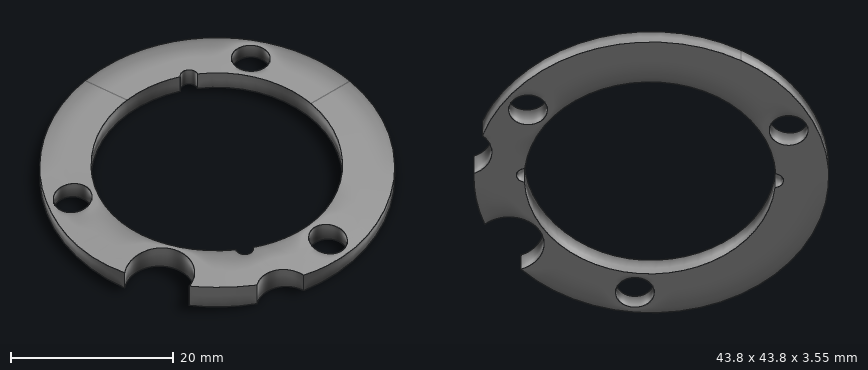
import cadquery as cq
import math

outer_radius = 21.9
inner_radius = 15.5
inner_center = (0.05, -0.18)
outer_rim_height = 2.0
inner_rim_height = 2.63
peak_height = 3.55

peak_angle = -58.4
outer_hump_half_angle = 60.0
inner_hump_half_angle = 80.0

first_edge_angle = 73.7
second_edge_inner_angle = 167.6
second_edge_outer_angle = 170.3

bolt_hole_diameter = 4.77
bolt_circle_radius = 18.65
bolt_circle_center = (0.05, -0.1)
bolt_hole_count = 3
first_bolt_hole_angle = 109.3

key_notch_radius = 1.1
key_notch_center_radius = 15.37
key_notch_angles = (135.0, -45.0)
large_notch_radius = 4.35
large_notch_center = (4.25, -20.15)
small_notch_radius = 3.7
small_notch_center = (18.95, -14.2)

top_overlap = 0.45
rim_point_count = 61
tool_height = 2 * peak_height


def polar_point(radius, angle, center=(0.0, 0.0)):
    """Point in the XY plane at a radius and an angle in degrees from a center."""
    x = center[0] + radius * math.cos(math.radians(angle))
    y = center[1] + radius * math.sin(math.radians(angle))
    return (x, y)


def hump_height(angle, base_height, half_angle):
    """Height of a rim at an angle in degrees: flat at the base height, cosine wave near the peak."""
    away_from_peak = abs((angle - peak_angle + 180.0) % 360.0 - 180.0)
    if away_from_peak >= half_angle:
        return base_height
    wave = (1.0 + math.cos(math.pi * away_from_peak / half_angle)) / 2.0
    return base_height + (peak_height - base_height) * wave


def top_line(inner_angle, outer_angle):
    """Straight line across the top from wall to wall, lengthened by the overlap at both ends."""
    inner_height = hump_height(inner_angle, inner_rim_height, inner_hump_half_angle)
    outer_height = hump_height(outer_angle, outer_rim_height, outer_hump_half_angle)
    inner_end = cq.Vector(*polar_point(inner_radius, inner_angle, inner_center), inner_height)
    outer_end = cq.Vector(*polar_point(outer_radius, outer_angle), outer_height)
    overlap = (outer_end - inner_end).normalized() * top_overlap
    return inner_end - overlap, outer_end + overlap


def block_below_top(inner_start, inner_end, outer_start, outer_end):
    """Solid below the ruled top surface between two wall-to-wall lines."""
    inner_points = []
    outer_points = []
    fractions = [i / (rim_point_count - 1) for i in range(rim_point_count)]
    for fraction in fractions:
        inner_angle = inner_start + fraction * (inner_end - inner_start)
        outer_angle = outer_start + fraction * (outer_end - outer_start)
        inner_point, outer_point = top_line(inner_angle, outer_angle)
        inner_points.append(inner_point)
        outer_points.append(outer_point)
    inner_rim = cq.Edge.makeSpline(inner_points, parameters=fractions)
    outer_rim = cq.Edge.makeSpline(outer_points, parameters=fractions)
    top_face = cq.Face.makeRuledSurface(inner_rim, outer_rim)
    return cq.Workplane(cq.Solid.extrudeLinear(top_face, cq.Vector(0, 0, -tool_height)))


def cylinders(centers, radius):
    """Vertical cylinders standing on the XY plane, taller than the finished ring."""
    return cq.Workplane().pushPoints(centers).circle(radius).extrude(tool_height)


ring = cylinders([(0.0, 0.0)], outer_radius).cut(cylinders([inner_center], inner_radius))
cone_block = block_below_top(
    first_edge_angle, second_edge_inner_angle, first_edge_angle, second_edge_outer_angle
)
hump_block = block_below_top(
    second_edge_inner_angle, first_edge_angle + 360.0, second_edge_outer_angle, first_edge_angle + 360.0
)
body = ring.intersect(cone_block).union(ring.intersect(hump_block))

bolt_hole_centers = [
    polar_point(bolt_circle_radius, first_bolt_hole_angle + i * 360.0 / bolt_hole_count, bolt_circle_center)
    for i in range(bolt_hole_count)
]
body = body.cut(cylinders(bolt_hole_centers, bolt_hole_diameter / 2))

key_notch_centers = [polar_point(key_notch_center_radius, angle, inner_center) for angle in key_notch_angles]
body = body.cut(cylinders(key_notch_centers, key_notch_radius))

body = body.cut(cylinders([large_notch_center], large_notch_radius))
body = body.cut(cylinders([small_notch_center], small_notch_radius))

result = cq.Workplane(body.solids().val())